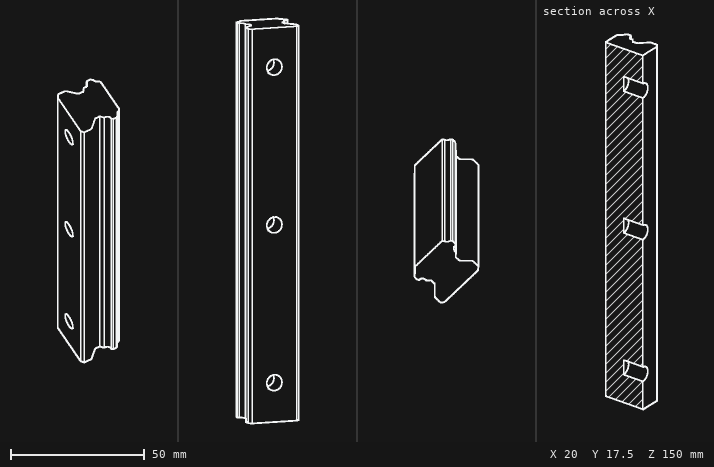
import cadquery as cq

length = 150.0
width = 20.0
height = 17.5
half_width = width / 2

foot_chamfer_width = 1.2
foot_chamfer_height = 0.9
foot_height = 4.0

waist_half_width = 6.5
waist_top = 9.6
waist_low = foot_height + half_width - waist_half_width
flank_fillet = 1.2
selection_margin = 0.2

lower_groove_start = (7.8, 11.2)
lower_groove_middle = (8.1, 12.2)
lower_groove_end = (9.2, 12.8)
lower_land = (7.8, 10.6)
lip_low = 13.4
lip_high = 14.7
lip_chamfer_width = 0.5
lip_chamfer_height = 0.6
upper_groove_start = (9.0, 15.6)
upper_groove_middle = (8.2, 16.0)
upper_groove_end = (7.8, 16.8)
top_half_width = 7.2

hole_diameter = 6.0
hole_depth = 9.0
hole_spacing = 60.0
hole_count = 3


def half_rail():
    """Extrude the +X half of the rail section, with Y measured from the foot."""
    profile = (
        cq.Workplane("XY")
        .moveTo(0, 0)
        .lineTo(half_width - foot_chamfer_width, 0)
        .lineTo(half_width, foot_chamfer_height)
        .lineTo(half_width, foot_height)
        .lineTo(waist_half_width, waist_low)
        .lineTo(waist_half_width, waist_top)
        .lineTo(*lower_land)
        .lineTo(*lower_groove_start)
        .threePointArc(lower_groove_middle, lower_groove_end)
        .lineTo(half_width - lip_chamfer_width, lip_low - lip_chamfer_height)
        .lineTo(half_width, lip_low)
        .lineTo(half_width, lip_high)
        .lineTo(half_width - lip_chamfer_width, lip_high + lip_chamfer_height)
        .lineTo(*upper_groove_start)
        .threePointArc(upper_groove_middle, upper_groove_end)
        .lineTo(top_half_width, height)
        .lineTo(0, height)
        .close()
    )
    half = profile.extrude(length)
    flank_corners = cq.selectors.BoxSelector(
        (waist_half_width - selection_margin, foot_height - selection_margin, 0),
        (half_width + selection_margin, waist_low + selection_margin, length),
    )
    return half.edges("|Z").edges(flank_corners).fillet(flank_fillet)


def mounting_holes():
    """Flat-bottomed holes along the centre line of the foot face."""
    return (
        cq.Workplane("XZ")
        .center(0, length / 2)
        .rarray(1.5, hole_spacing, 1, hole_count)
        .circle(hole_diameter / 2)
        .extrude(-hole_depth)
    )


half = half_rail()
rail = half.union(half.mirror("YZ"))
result = rail.cut(mounting_holes()).translate((0, -height / 2, -length / 2))